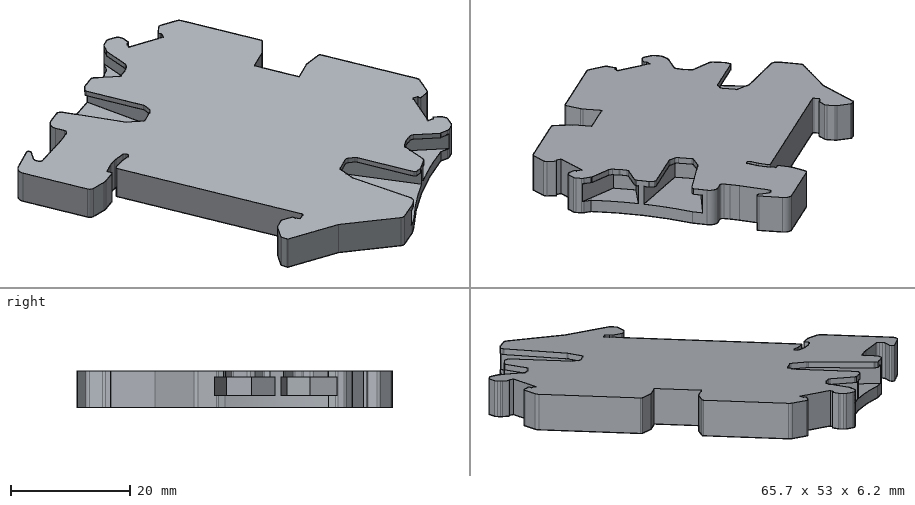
import cadquery as cq
import math

TILT = 7.15

THICKNESS = 6.2
POCKET_FLOOR = 2.05
LEDGE_DEPTH = 1.0
LEDGE_BOTTOM = THICKNESS - LEDGE_DEPTH

TOP = 39.95
NOTCH_CENTRE = -1.45
NOTCH_BOTTOM = 33.3
NOTCH_HALF_WIDTH = 4.0
NOTCH_FLARE_LEVEL = 36.8
NOTCH_TOP_HALF_WIDTH = 5.1
NOTCH_FLARE_RADIUS = 1.3
NOTCH_LIP_RADIUS = 0.3

FLANK_TOP = (30.0, 28.05)
FLANK_MIDDLE = (30.0, 19.2)
FLANK_BOTTOM = (32.0, 10.25)


SHOULDER = [
    (21.55, TOP, 1.0),
    (24.2, 37.3, 0.65),
    (23.6, 35.35, 0.1),
    (23.05, 35.55, 0),
    (22.4, 34.9, 0),
    (26.9, 30.35, 0),
    (27.5, 31.1, 0),
    (27.35, 31.5, 0.1),
    (28.65, 32.1, 0.65),
    (29.65, 32.1, 0.65),
    (31.0, 30.75, 0.65),
    (31.0, 29.3, 0.65),
    (*FLANK_TOP, 0),
]

FIXED_FOOT = [
    (*FLANK_BOTTOM, 0),
    (32.25, 8.95, 1.3),
    (32.05, 5.25, 0.8),
    (22.55, -0.4, 0),
    (15.9, -7.0, 0.2),
    (14.65, -6.9, 0.2),
    (13.15, -4.6, 0.65),
    (13.15, -2.75, 0.65),
    (14.65, -1.3, 0.1),
    (15.2, -1.45, 0),
    (16.0, -1.2, 0.1),
    (16.05, 0, 0.2),
]

LATCH_FOOT = [
    (-17.8, 0, 0.4),
    (-17.35, 2.25, 2),
    (-16.6, 4.1, 0.4),
    (-17.75, 4.1, 0.4),
    (-18.5, 2.05, 2),
    (-18.8, 0.5, 2),
    (-18.7, -1.3, 0.1),
    (-17.75, -1.3, 0.1),
    (-18.1, -3.95, 1.3),
    (-19.5, -6.8, 1.0),
    (-33.05, -6.8, 1.3),
    (-33.2, -1.05, 0.4),
    (-32.45, -1.05, 0.4),
    (-31.3, -2.9, 0.65),
    (-29.95, -2.9, 0.5),
    (-28.8, 3.6, 13.15),
    (-28.65, 6.1, 0.5),
    (-32.4, 6.1, 1.45),
    (-FLANK_BOTTOM[0], FLANK_BOTTOM[1], 0),
]

UPPER_MOUTH = [
    (30.8, 28.3, 0),
    (25.55, 25.8, 0.8),
    (25.3, 24.25, 0.65),
    (25.5, 22.7, 0.4),
    (29.65, 20.7, 0.25),
    (30.55, 19.8, 0),
]
UPPER_CHAMBER = [
    (31.2, 29.45, 0),
    (23.4, 25.7, 0),
    (23.45, 21.8, 0),
    (30.55, 19.8, 0),
]
LOWER_MOUTH = [
    (30.4, 18.7, 0),
    (29.7, 17.0, 0.4),
    (19.0, 17.0, 0.65),
    (17.55, 16.15, 0.65),
    (17.55, 13.3, 0.3),
    (20.4, 11.8, 0.65),
    (31.5, 10.45, 0.4),
    (32.4, 9.8, 0),
]
LOWER_CHAMBER = [
    (30.8, 19.1, 0),
    (15.9, 16.75, 0),
    (15.9, 12.55, 0),
    (32.8, 8.3, 0),
]


def mirrored(corners):
    """Return the corners reflected in the centre line, in reverse order."""
    return [(-u, v, radius) for u, v, radius in reversed(corners)]


def rounded_polygon(corners, bottom, top):
    """Extrude a closed polygon, with its corners rounded, between two levels."""
    sketch = None
    for index, (u, v, radius) in enumerate(corners):
        corner = cq.Vector(u, v)
        before = cq.Vector(*corners[index - 1][:2])
        after = cq.Vector(*corners[(index + 1) % len(corners)][:2])
        back = (before - corner).normalized()
        ahead = (after - corner).normalized()
        half_angle = back.getAngle(ahead) / 2
        setback = radius / math.tan(half_angle)
        start = corner + back * setback
        end = corner + ahead * setback
        if sketch is None:
            sketch = cq.Workplane("XY").workplane(offset=bottom).moveTo(start.x, start.y)
        else:
            sketch = sketch.lineTo(start.x, start.y)
        if radius > 0:
            crown_gap = radius / math.sin(half_angle) - radius
            crown = corner + (back + ahead).normalized() * crown_gap
            sketch = sketch.threePointArc((crown.x, crown.y), (end.x, end.y))
    return sketch.close().extrude(top - bottom)


def housing():
    """Full-thickness plate with the notch, shoulders, ears and rail feet."""
    notch = [
        (NOTCH_CENTRE - NOTCH_TOP_HALF_WIDTH, TOP, NOTCH_LIP_RADIUS),
        (NOTCH_CENTRE - NOTCH_HALF_WIDTH, NOTCH_FLARE_LEVEL, NOTCH_FLARE_RADIUS),
        (NOTCH_CENTRE - NOTCH_HALF_WIDTH, NOTCH_BOTTOM, 0),
        (NOTCH_CENTRE + NOTCH_HALF_WIDTH, NOTCH_BOTTOM, 0),
        (NOTCH_CENTRE + NOTCH_HALF_WIDTH, NOTCH_FLARE_LEVEL, NOTCH_FLARE_RADIUS),
        (NOTCH_CENTRE + NOTCH_TOP_HALF_WIDTH, TOP, NOTCH_LIP_RADIUS),
    ]
    outline = notch + SHOULDER + FIXED_FOOT + LATCH_FOOT + mirrored(SHOULDER)
    return rounded_polygon(outline, 0, THICKNESS)


def flank_hollow():
    """Circular segment that makes the right-hand flank concave."""
    sketch = cq.Workplane("XY").moveTo(*FLANK_TOP)
    return sketch.threePointArc(FLANK_MIDDLE, FLANK_BOTTOM).close().extrude(THICKNESS)


def pocket(mouth, chamber):
    """Right-hand wire pocket: chamber on the floor, mouth through the ledge."""
    lower = rounded_polygon(chamber, POCKET_FLOOR, LEDGE_BOTTOM)
    return lower.union(rounded_polygon(mouth, LEDGE_BOTTOM, THICKNESS))


side_cuts = [
    flank_hollow(),
    pocket(UPPER_MOUTH, UPPER_CHAMBER),
    pocket(LOWER_MOUTH, LOWER_CHAMBER),
]

body = housing()
for cut in side_cuts:
    body = body.cut(cut).cut(cut.mirror("YZ"))

result = body.rotate((0, 0, 0), (0, 0, 1), TILT)